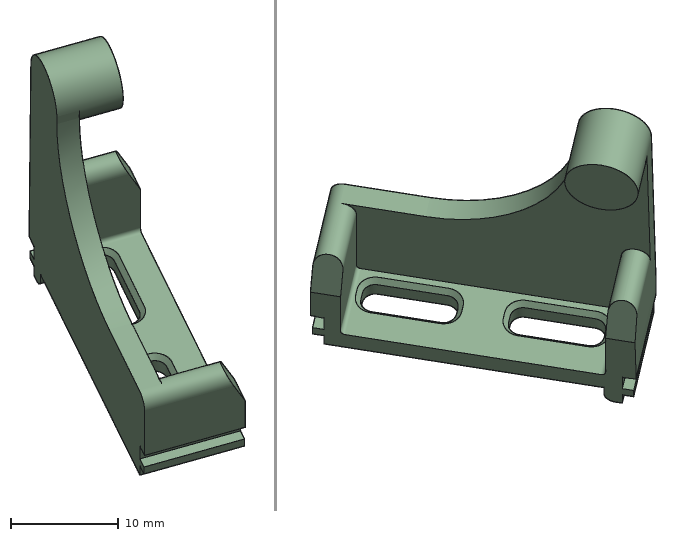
import cadquery as cq
import math

length = 30.85
depth = 10.0
plate_thickness = 2.25
shoulder_height = 11.8
floor_thickness = 2.0

boss_radius = 3.48
boss_depth = 6.6
boss_x = 3.92
boss_z = 26.82

sweep_radius = 14.0
arm_right_x = boss_x + boss_radius
arm_left_x = boss_x - boss_radius

wall_thickness = 2.87
corner_radius = 1.36
wall_root_radius = 0.45
wall_bevel_depth = 1.75
wall_bevel_height = 3.95

groove_depth = 1.28
groove_slope = 0.1
left_groove_top = 2.15
right_groove_top = 4.15
rib_height = 1.0
rib_drop = 1.85
rib_inset = 0.2
taper_start_z = 4.15

lip_drop = 2.0
lip_width = 1.75
lip_radius = 1.1

slot_length = 9.05
slot_width = 3.15
slot_corner_radius = 1.22
slot_chamfer = 0.5
slot_spacing = 14.0
slot_y = 5.0


def left_face_x(z):
    """X of the leaning left face at height z."""
    return arm_left_x * (z - taper_start_z) / (boss_z - taper_start_z)


def lower_outline():
    """Open XZ outline from the left face, under the part, to the right groove's outer edge."""
    lip_right = groove_depth + lip_width
    left_rib_top = left_groove_top - rib_drop
    right_rib_top = right_groove_top - rib_drop
    right_groove_x = length - groove_depth
    arc_offset = lip_radius * math.sqrt(0.5)
    arc_middle = (lip_right - lip_radius + arc_offset, -lip_drop + lip_radius - arc_offset)
    return (
        cq.Workplane("XZ")
        .moveTo(0, taper_start_z)
        .lineTo(0, left_groove_top)
        .lineTo(groove_depth, left_groove_top - groove_slope)
        .lineTo(groove_depth, left_rib_top)
        .lineTo(rib_inset, left_rib_top)
        .lineTo(rib_inset, left_rib_top - rib_height)
        .lineTo(groove_depth, left_rib_top - rib_height)
        .lineTo(groove_depth, -lip_drop)
        .lineTo(lip_right - lip_radius, -lip_drop)
        .threePointArc(arc_middle, (lip_right, -lip_drop + lip_radius))
        .lineTo(lip_right, 0)
        .lineTo(right_groove_x, 0)
        .lineTo(right_groove_x, right_rib_top - rib_height)
        .lineTo(length - rib_inset, right_rib_top - rib_height)
        .lineTo(length - rib_inset, right_rib_top)
        .lineTo(right_groove_x, right_rib_top)
        .lineTo(right_groove_x, right_groove_top - groove_slope)
        .lineTo(length, right_groove_top)
    )


def make_front_plate():
    """Front plate with the tall arm, the concave sweep and the rounded right shoulder."""
    sweep_x = arm_right_x + sweep_radius
    sweep_z = shoulder_height + sweep_radius
    sweep_offset = sweep_radius * math.sqrt(0.5)
    plate = (
        lower_outline()
        .lineTo(length, shoulder_height)
        .lineTo(sweep_x, shoulder_height)
        .threePointArc((sweep_x - sweep_offset, sweep_z - sweep_offset), (arm_right_x, sweep_z))
        .lineTo(arm_right_x, boss_z)
        .threePointArc((boss_x, boss_z + boss_radius), (arm_left_x, boss_z))
        .close()
        .extrude(-plate_thickness)
    )
    shoulder_corner = cq.selectors.NearestToPointSelector((length, plate_thickness / 2, shoulder_height))
    return plate.edges(shoulder_corner).fillet(corner_radius)


def make_tray():
    """Floor and the two end walls, a U-shaped section along the full depth."""
    right_wall_x = length - wall_thickness
    tray = (
        lower_outline()
        .lineTo(length, shoulder_height)
        .lineTo(right_wall_x, shoulder_height)
        .lineTo(right_wall_x, floor_thickness)
        .lineTo(wall_thickness, floor_thickness)
        .lineTo(wall_thickness, shoulder_height)
        .lineTo(left_face_x(shoulder_height), shoulder_height)
        .close()
        .extrude(-depth)
    )
    for root_x in (wall_thickness, right_wall_x):
        root = cq.selectors.NearestToPointSelector((root_x, depth / 2, floor_thickness))
        tray = tray.edges(root).fillet(wall_root_radius)
    for top_x in (left_face_x(shoulder_height), wall_thickness, right_wall_x, length):
        top_edge = cq.selectors.NearestToPointSelector((top_x, depth / 2, shoulder_height))
        tray = tray.edges(top_edge).fillet(corner_radius)
    return tray.cut(make_wall_bevel())


def make_wall_bevel():
    """Wedge that bevels the top back corner of both end walls."""
    return (
        cq.Workplane("YZ")
        .moveTo(depth - wall_bevel_depth, shoulder_height)
        .lineTo(depth, shoulder_height)
        .lineTo(depth, shoulder_height - wall_bevel_height)
        .close()
        .extrude(length)
    )


def make_boss():
    """Round boss standing behind the top of the arm."""
    return cq.Workplane("XZ").center(boss_x, boss_z).circle(boss_radius).extrude(-boss_depth)


def slot_outline(margin):
    """Rounded slot outline, grown outward by the given margin."""
    return (
        cq.Sketch()
        .rect(slot_length + 2 * margin, slot_width + 2 * margin)
        .vertices()
        .fillet(slot_corner_radius + margin)
    )


def make_slot(center_x):
    """Cutter for a slot through the floor, flared by a chamfer at the floor's upper face."""
    straight = cq.Workplane("XY").placeSketch(slot_outline(0)).extrude(floor_thickness)
    rim = slot_outline(slot_chamfer).moved(cq.Location(cq.Vector(0, 0, slot_chamfer)))
    flare = (
        cq.Workplane("XY")
        .workplane(offset=floor_thickness - slot_chamfer)
        .placeSketch(slot_outline(0), rim)
        .loft()
    )
    return straight.union(flare).translate((center_x, slot_y, 0))


result = make_front_plate().union(make_tray()).union(make_boss())
for side in (-1, 1):
    result = result.cut(make_slot(length / 2 + side * slot_spacing / 2))